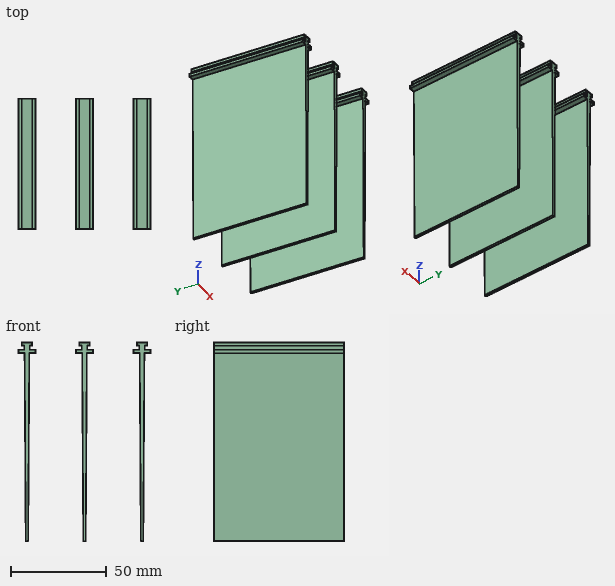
import cadquery as cq

blade_count = 3
pitch = 30.0

height = 103.8
length = 68.0

head_width = 5.5
neck_width = 3.0
flange_width = 9.0
rail_thickness = 1.8
neck_height = 2.1

sheet_top_width = 2.6
tip_half_width = 0.7
tip_rise = 0.33

head_bottom = height - rail_thickness
flange_top = head_bottom - neck_height
flange_bottom = flange_top - rail_thickness


def make_blade(center_x):
    """One blade: a T-shaped head, a flange and a sheet tapering to a rounded tip."""
    right_side = [
        (tip_half_width, tip_rise),
        (sheet_top_width / 2, flange_bottom),
        (flange_width / 2, flange_bottom),
        (flange_width / 2, flange_top),
        (neck_width / 2, flange_top),
        (neck_width / 2, head_bottom),
        (head_width / 2, head_bottom),
        (head_width / 2, height),
    ]
    left_side = [(-x, z) for x, z in reversed(right_side)]
    return (
        cq.Workplane("XZ")
        .polyline(right_side + left_side)
        .threePointArc((0, 0), right_side[0])
        .close()
        .extrude(length / 2, both=True)
        .translate((center_x, 0, 0))
    )


first_x = -pitch * (blade_count - 1) / 2
blades = [make_blade(first_x + i * pitch) for i in range(blade_count)]

result = cq.Compound.makeCompound([blade.val() for blade in blades])